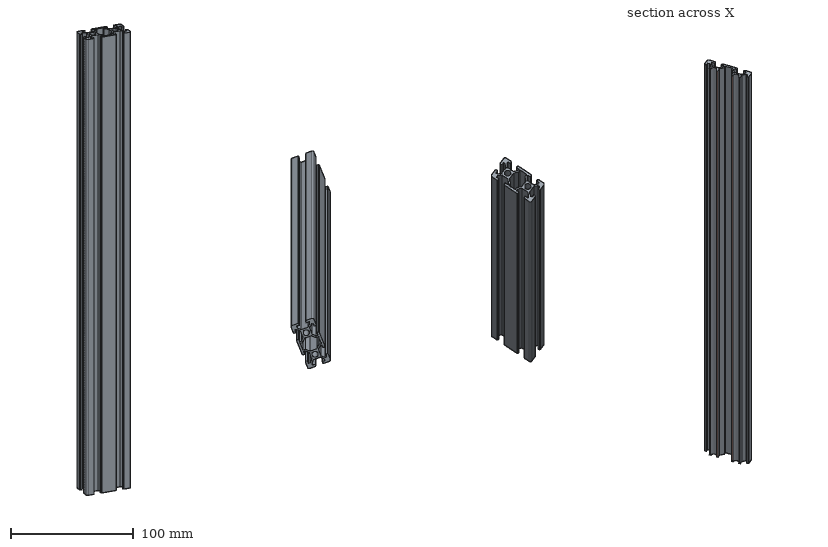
import cadquery as cq

cell = 20.0
depth = 2 * cell
length = 400.0
corner_radius = 1.5

mouth_width = 6.0
mouth_chamfer = 0.6
lip_thickness = 2.0
slot_width = 11.0

core_width = 8.0
bore_radius = 2.5
rib_offset = 1.05

side_wall = 2.0
hollow_shoulder_width = 11.5

half_cell = cell / 2
half_core = core_width / 2
core_flat = half_core - rib_offset
cell_centre_y = half_cell
overcut = 4.0


def slot_cutter():
    """T-slot of the upper cell, open toward +Y, drawn about the cell centre."""
    half_mouth = mouth_width / 2
    half_slot = slot_width / 2
    right_side = [
        (core_flat, half_core),
        (half_slot, half_slot + rib_offset),
        (half_slot, half_cell - lip_thickness),
        (half_mouth, half_cell - lip_thickness),
        (half_mouth, half_cell - mouth_chamfer),
        (half_mouth + mouth_chamfer, half_cell),
        (half_mouth + mouth_chamfer, half_cell + overcut),
    ]
    left_side = [(-x, y) for x, y in reversed(right_side)]
    return cq.Workplane("XY").polyline(right_side + left_side).close().extrude(length)


def central_hollow():
    """Chamber between the two cores, bounded by the ribs and the side walls."""
    wall_x = half_cell - side_wall
    shoulder_x = hollow_shoulder_width / 2
    shoulder_y = cell_centre_y - shoulder_x - rib_offset
    core_y = cell_centre_y - half_core
    upper = [
        (wall_x, shoulder_y),
        (shoulder_x, shoulder_y),
        (core_flat, core_y),
        (-core_flat, core_y),
        (-shoulder_x, shoulder_y),
        (-wall_x, shoulder_y),
    ]
    lower = [(-x, -y) for x, y in upper]
    return cq.Workplane("XY").polyline(upper + lower).close().extrude(length)


bar = cq.Workplane("XY").rect(cell, depth).extrude(length)
bar = bar.edges("|Z").fillet(corner_radius)

slot = slot_cutter()
for end_angle in (0, 180):
    for side_angle in (-90, 0, 90):
        cutter = slot.rotate((0, 0, 0), (0, 0, 1), side_angle).translate((0, cell_centre_y, 0))
        bar = bar.cut(cutter.rotate((0, 0, 0), (0, 0, 1), end_angle))

bar = bar.cut(central_hollow())

bores = (
    cq.Workplane("XY")
    .pushPoints([(0, cell_centre_y), (0, -cell_centre_y)])
    .circle(bore_radius)
    .extrude(length)
)
result = bar.cut(bores)